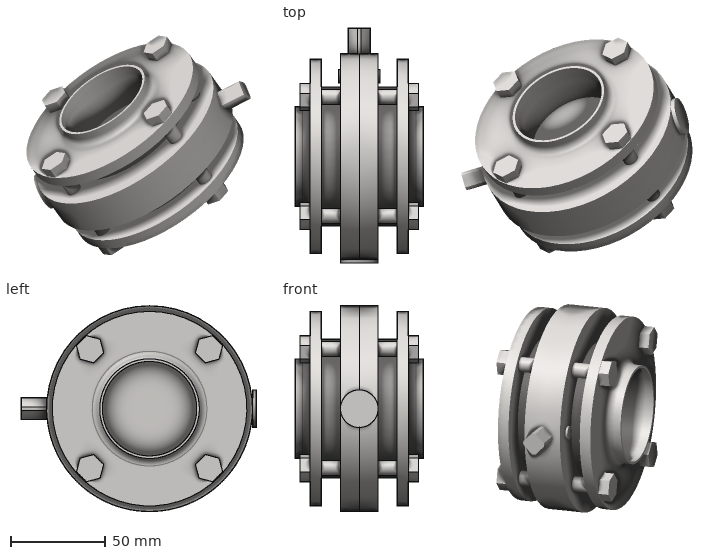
import cadquery as cq
import math

BORE_RADIUS = 25.0
PIPE_RADIUS = 26.4
PIPE_END = 34.0
FLANGE_RADIUS = 51.5
FLANGE_INNER_FACE = 20.0
FLANGE_THICKNESS = 6.0
PIPE_FILLET = 4.0
NECK_RADIUS = 36.9

RING_RADIUS = 54.5
RING_HALF_WIDTH = 10.0

BOLT_OFFSET = 31.5
BOLT_RADIUS = 4.0
HEAD_RADIUS = 7.5
HEAD_HEIGHT = 5.5

BUTTON_CENTER_Y = 42.6
BUTTON_RADIUS = 3.6
BUTTON_HEIGHT = 1.1

DISC_THICKNESS = 2 * RING_HALF_WIDTH
STEM_RADIUS = 5.9
STEM_SQUARE = 9.6
STEM_END_Y = 68.0
CAP_RADIUS = 10.0
CAP_THICKNESS = 2.0

FLANGE_OUTER_FACE = FLANGE_INNER_FACE + FLANGE_THICKNESS
CAP_BACK_Y = -RING_RADIUS


def cylinder_x(radius, x_start, x_end, y=0, z=0):
    """Cylinder along X between two X positions."""
    return (
        cq.Workplane("YZ", origin=(x_start, y, z))
        .circle(radius)
        .extrude(x_end - x_start)
    )


def cylinder_y(radius, y_start, y_end):
    """Cylinder on the Y axis between two Y positions."""
    return (
        cq.Workplane("XZ", origin=(0, y_start, 0))
        .circle(radius)
        .extrude(y_start - y_end)
    )


def turned_body():
    """Ring half, neck, flange and pipe end on the +X side, with the bore left solid."""
    fillet_start = FLANGE_OUTER_FACE + PIPE_FILLET
    fillet_center_r = PIPE_RADIUS + PIPE_FILLET
    fillet_mid = (
        fillet_start - PIPE_FILLET * math.sqrt(0.5),
        fillet_center_r - PIPE_FILLET * math.sqrt(0.5),
    )
    profile = (
        cq.Workplane("XZ")
        .moveTo(0, 0)
        .lineTo(0, RING_RADIUS)
        .lineTo(RING_HALF_WIDTH, RING_RADIUS)
        .lineTo(RING_HALF_WIDTH, NECK_RADIUS)
        .lineTo(FLANGE_INNER_FACE, NECK_RADIUS)
        .lineTo(FLANGE_INNER_FACE, FLANGE_RADIUS)
        .lineTo(FLANGE_OUTER_FACE, FLANGE_RADIUS)
        .lineTo(FLANGE_OUTER_FACE, fillet_center_r)
        .threePointArc(fillet_mid, (fillet_start, PIPE_RADIUS))
        .lineTo(PIPE_END, PIPE_RADIUS)
        .lineTo(PIPE_END, 0)
        .close()
    )
    return profile.revolve(360, (0, 0, 0), (1, 0, 0))


def bolt(y_side, z_side):
    """Bolt from the ring through the flange, one flat of its head facing outward."""
    y = y_side * BOLT_OFFSET
    z = z_side * BOLT_OFFSET
    shank = cylinder_x(BOLT_RADIUS, RING_HALF_WIDTH, FLANGE_OUTER_FACE, y, z)
    flat_turn = math.degrees(math.atan2(z, y)) + 30
    head = (
        cq.Workplane("YZ", origin=(FLANGE_OUTER_FACE, y, z))
        .transformed(rotate=(0, 0, flat_turn))
        .polygon(6, 2 * HEAD_RADIUS)
        .extrude(HEAD_HEIGHT)
    )
    return shank.union(head)


def housing_half():
    """Housing half on the +X side."""
    half = turned_body()
    for y_side in (-1, 1):
        for z_side in (-1, 1):
            half = half.union(bolt(y_side, z_side))
    button_face = RING_HALF_WIDTH + BUTTON_HEIGHT
    half = half.union(cylinder_x(BUTTON_RADIUS, RING_HALF_WIDTH, button_face, BUTTON_CENTER_Y))
    half = half.cut(cylinder_x(BORE_RADIUS, 0, PIPE_END))
    return half.cut(cylinder_y(STEM_RADIUS, CAP_BACK_Y, STEM_END_Y))


def valve_disc():
    """Closing disc with its stem, squared drive end and cap."""
    disc = cylinder_x(BORE_RADIUS, -DISC_THICKNESS / 2, DISC_THICKNESS / 2)
    stem = cylinder_y(STEM_RADIUS, CAP_BACK_Y, RING_RADIUS)
    square = (
        cq.Workplane("XZ", origin=(0, RING_RADIUS, 0))
        .transformed(rotate=(0, 0, 45))
        .rect(STEM_SQUARE, STEM_SQUARE)
        .extrude(RING_RADIUS - STEM_END_Y)
    )
    drive_end = square.intersect(cylinder_y(STEM_RADIUS, RING_RADIUS, STEM_END_Y))
    cap = cylinder_y(CAP_RADIUS, CAP_BACK_Y - CAP_THICKNESS, CAP_BACK_Y)
    return disc.union(stem).union(drive_end).union(cap)


right_half = housing_half()
left_half = right_half.mirror("YZ")
disc = valve_disc()

result = cq.Compound.makeCompound([left_half.val(), right_half.val(), disc.val()])